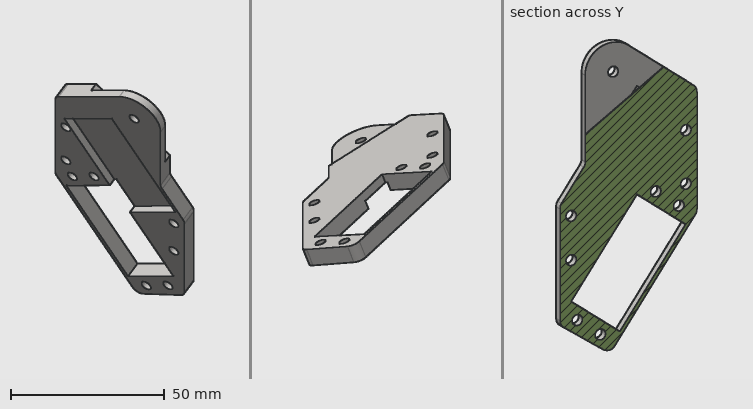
import cadquery as cq
import math

width = 49.0
height = 104.0
thickness = 6.0
tilt = 35.0
foot_tilt = 33.0

corner_radius = 3.0
lobe_radius = 10.0
lobe_x = 30.0
foot_x = 31.8
shoulder_z = 63.9

relief_depth = 3.0
relief_start_z = 93.6

opening_x = 24.5
window_width = 21.0
window_length = 40.8
window_z = 28.8
pocket_width = 21.9
pocket_length = 42.0
pocket_z = 64.7
pocket_depth = 2.9

hole_diameter = 3.5
lobe_z = height - lobe_radius
hole_positions = [
    (lobe_x, lobe_z),
    (4.1, 71.2),
    (4.1, 53.1),
    (6.5, 46.1),
    (14.8, 51.8),
    (44.9, 47.1),
    (44.9, 32.1),
    (42.7, 11.6),
    (34.5, 5.8),
]

shallow = math.tan(math.radians(tilt))
steep = 1 / shallow
foot_slope = math.tan(math.radians(foot_tilt))

upper_left_z = lobe_z - lobe_x * shallow + lobe_radius * math.hypot(1, shallow)
lobe_right = lobe_x + lobe_radius
apex_z = upper_left_z + lobe_right * shallow
shoulder_end_z = shoulder_z - (width - lobe_right) * steep
lower_left_z = corner_radius + foot_x * steep - corner_radius * math.hypot(1, steep)
lower_right_z = corner_radius + (width - foot_x) * foot_slope - corner_radius * math.hypot(1, foot_slope)
foot_corner_x = (lower_left_z - lower_right_z + width * foot_slope) / (steep + foot_slope)
foot_corner_z = lower_left_z - foot_corner_x * steep


def extrude_back(sketch, start_y, depth):
    """Extrude an XZ sketch from start_y toward +Y."""
    return sketch.extrude(-depth).translate((0, start_y, 0))


def make_plate():
    corners = [
        (0, lower_left_z),
        (0, upper_left_z),
        (lobe_right, apex_z),
        (lobe_right, shoulder_z),
        (width, shoulder_end_z),
        (width, lower_right_z),
        (foot_corner_x, foot_corner_z),
    ]
    plate = extrude_back(cq.Workplane("XZ").polyline(corners).close(), 0, thickness)
    lobe_corner = cq.selectors.NearestToPointSelector((lobe_right, thickness / 2, apex_z))
    plate = plate.edges(lobe_corner).fillet(lobe_radius)
    for x, z in corners:
        if (x, z) != (lobe_right, apex_z):
            corner = cq.selectors.NearestToPointSelector((x, thickness / 2, z))
            plate = plate.edges("|Y").edges(corner).fillet(corner_radius)
    return plate


def make_relief():
    """Back half of the lobe, above a step that falls toward +X."""
    start_x = (relief_start_z - upper_left_z) / shallow
    wedge = [
        (start_x, relief_start_z),
        (start_x, apex_z),
        (width, apex_z),
        (width, relief_start_z - (width - start_x) * shallow),
    ]
    sketch = cq.Workplane("XZ").polyline(wedge).close()
    return extrude_back(sketch, thickness - relief_depth, relief_depth)


def make_tilted_block(center_z, across, along, depth):
    block = cq.Workplane("XY").box(across, depth, along, centered=(True, False, True))
    return block.rotate((0, 0, 0), (0, 1, 0), -tilt).translate((opening_x, 0, center_z))


def make_holes():
    sketch = cq.Workplane("XZ").pushPoints(hole_positions).circle(hole_diameter / 2)
    return extrude_back(sketch, 0, thickness)


result = (
    make_plate()
    .cut(make_relief())
    .cut(make_tilted_block(window_z, window_width, window_length, thickness))
    .cut(make_tilted_block(pocket_z, pocket_width, pocket_length, pocket_depth))
    .cut(make_holes())
)